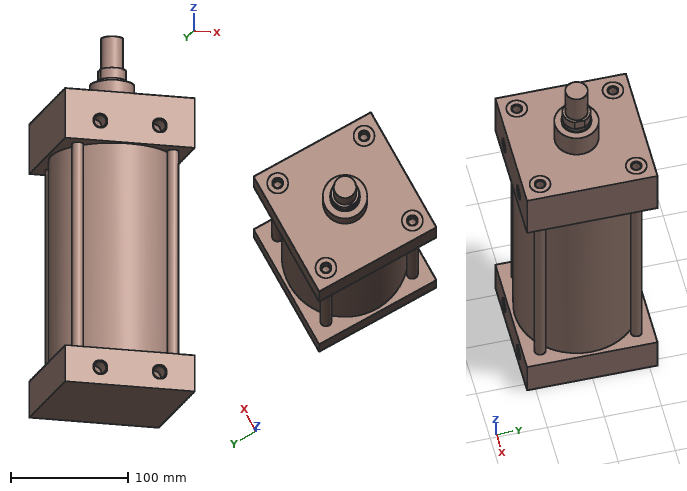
import cadquery as cq
import math


total_height = 324.0
cap_height = 32.0
barrel_length = 184.0
head_height = 44.0
collar_height = 22.5
rod_land_height = 2.0
rod_cone_height = 2.0
stud_length = 28.5

barrel_base_z = cap_height
head_base_z = barrel_base_z + barrel_length
head_top_z = head_base_z + head_height
collar_top_z = head_top_z + collar_height
cone_base_z = collar_top_z + rod_land_height
neck_base_z = cone_base_z + rod_cone_height
stud_base_z = total_height - stud_length

block_width = 114.3
barrel_diameter = 108.2
gland_diameter = 70.0
collar_diameter = 38.0
rod_diameter = 25.5
neck_diameter = 24.0
wrench_width = 22.5
stud_diameter = 19.0

tie_rod_spacing = 84.2
tie_rod_diameter = 9.7
nut_diameter = 17.8
nut_length = 16.2

drill_point_angle = 118.0
nut_hole_diameter = 7.8
nut_hole_mouth = 9.5
nut_hole_depth = 11.3
mount_hole_diameter = 10.7
mount_hole_mouth = 12.5
mount_hole_depth = 16.2
mount_hole_spacing = 52.5
cap_hole_z = 15.0
head_hole_rise = 17.5
head_hole_z = head_base_z + head_hole_rise


def cylinder(diameter, base_z, top_z):
    """Round bar on the Z axis between two heights."""
    return cq.Workplane("XY", origin=(0, 0, base_z)).circle(diameter / 2).extrude(top_z - base_z)


def square_block(base_z, height):
    """Square end block centred on the Z axis."""
    return cq.Workplane("XY", origin=(0, 0, base_z)).rect(block_width, block_width).extrude(height)


def tapped_hole(diameter, mouth_diameter, depth):
    """Cutter for a chamfered blind hole with a drill point, from the origin down to -Z."""
    radius = diameter / 2
    mouth_radius = mouth_diameter / 2
    chamfer = mouth_radius - radius
    point_length = radius / math.tan(math.radians(drill_point_angle / 2))
    profile = (
        cq.Workplane("XZ")
        .moveTo(0, 0)
        .lineTo(mouth_radius, 0)
        .lineTo(radius, -chamfer)
        .lineTo(radius, -depth)
        .lineTo(0, -depth - point_length)
        .close()
    )
    return profile.revolve(360, (0, 0, 0), (0, 1, 0))


def cut_mounting_holes(block, height):
    """Cut the pair of tapped mounting holes into the -Y face of an end block."""
    cutter = tapped_hole(mount_hole_diameter, mount_hole_mouth, mount_hole_depth)
    cutter = cutter.rotate((0, 0, 0), (1, 0, 0), 90)
    for side in (-1, 1):
        block = block.cut(cutter.translate((side * mount_hole_spacing / 2, -block_width / 2, height)))
    return block


def make_tie_rod():
    """One tie rod with its sleeve nut, on the Z axis."""
    shank = cylinder(tie_rod_diameter, barrel_base_z, head_top_z - nut_length)
    nut = cylinder(nut_diameter, head_top_z - nut_length, head_top_z)
    return shank.union(nut)


def place_tie_rods(shape):
    """Copies of a shape at the four tie rod axes."""
    offset = tie_rod_spacing / 2
    return [shape.translate((x, y, 0)) for x in (-offset, offset) for y in (-offset, offset)]


def make_cap():
    """Lower end block carrying the four tie rods and their tapped sleeve nuts."""
    cap = cut_mounting_holes(square_block(0, cap_height), cap_hole_z)
    nut_hole = tapped_hole(nut_hole_diameter, nut_hole_mouth, nut_hole_depth)
    tie_rod = make_tie_rod().cut(nut_hole.translate((0, 0, head_top_z)))
    for placed_rod in place_tie_rods(tie_rod):
        cap = cap.union(placed_rod)
    return cap


def make_barrel():
    """Cylinder barrel between the two end blocks."""
    return cylinder(barrel_diameter, barrel_base_z, head_base_z)


def make_head():
    """Upper end block with its flush gland and collar, bored for the rod and the tie rods."""
    head = square_block(head_base_z, head_height)
    for clearance in place_tie_rods(make_tie_rod()):
        head = head.cut(clearance)
    head = cut_mounting_holes(head, head_hole_z)

    gland_bore = cylinder(gland_diameter, head_base_z, head_top_z)
    collar = cylinder(collar_diameter, head_top_z, collar_top_z)
    gland = gland_bore.union(collar)
    rod_bore = cylinder(rod_diameter, head_base_z, collar_top_z)
    return head.cut(gland_bore).union(gland.cut(rod_bore), clean=False)


def make_piston_rod():
    """Piston rod with a coned shoulder, a neck with two wrench flats and a plain stud."""
    rod_radius = rod_diameter / 2
    neck_radius = neck_diameter / 2
    stud_radius = stud_diameter / 2
    profile = (
        cq.Workplane("XZ")
        .moveTo(0, head_base_z)
        .lineTo(rod_radius, head_base_z)
        .lineTo(rod_radius, cone_base_z)
        .lineTo(neck_radius, neck_base_z)
        .lineTo(neck_radius, stud_base_z)
        .lineTo(stud_radius, stud_base_z)
        .lineTo(stud_radius, total_height)
        .lineTo(0, total_height)
        .close()
    )
    rod = profile.revolve(360, (0, 0, 0), (0, 1, 0))

    neck_length = stud_base_z - neck_base_z
    for side in (-1, 1):
        flat_cutter = (
            cq.Workplane("XY", origin=(side * (wrench_width + rod_diameter) / 2, 0, neck_base_z))
            .rect(rod_diameter, rod_diameter)
            .extrude(neck_length)
        )
        rod = rod.cut(flat_cutter)
    return rod


cap = make_cap()
barrel = make_barrel()
head = make_head()
piston_rod = make_piston_rod()

bodies = [cap, barrel, head, piston_rod]
result = cq.Compound.makeCompound([body.solids().val() for body in bodies])